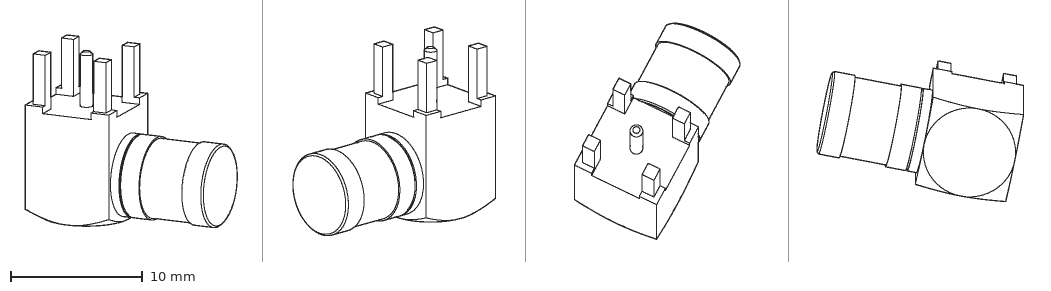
import cadquery as cq
import math

total_length = 14.7
block_width = 7.0
total_height = 13.0

block_height = 9.04
relief_depth = 0.51
base_cone_angle = 30.0

leg_pitch = 5.07
leg_width = 1.01

pin_diameter = 0.97
pin_top = 12.8
pin_chamfer = 0.22

coupling_diameter = 6.4
waist_diameter = 6.12
collar_length = 0.7
rear_band_length = 1.68
front_band_length = 1.73
barrel_chamfer = 0.15

half_width = block_width / 2
floor_height = block_height - relief_depth
relief_width = leg_pitch - leg_width
coupling_axis_height = half_width


def make_block():
    """Square block with its lower corners trimmed by a cone that meets the sides at mid-width."""
    block = cq.Workplane("XY").rect(block_width, block_width).extrude(block_height)
    for size_x, size_y in ((relief_width, block_width), (block_width, relief_width)):
        relief = cq.Workplane("XY", origin=(0, 0, floor_height)).rect(size_x, size_y).extrude(relief_depth)
        block = block.cut(relief)

    envelope_radius = block_width
    cone_rise = (envelope_radius - half_width) * math.tan(math.radians(base_cone_angle))
    envelope = (
        cq.Workplane("XZ")
        .moveTo(0, 0)
        .lineTo(half_width, 0)
        .lineTo(envelope_radius, cone_rise)
        .lineTo(envelope_radius, total_height)
        .lineTo(0, total_height)
        .close()
        .revolve(360, (0, 0, 0), (0, 1, 0))
    )
    return block.intersect(envelope)


def make_legs():
    """Four square legs, each rooted in a corner pad."""
    return (
        cq.Workplane("XY", origin=(0, 0, floor_height))
        .rarray(leg_pitch, leg_pitch, 2, 2)
        .rect(leg_width, leg_width)
        .extrude(total_height - floor_height)
    )


def make_pin():
    """Round centre pin with a chamfered tip."""
    return (
        cq.Workplane("XY", origin=(0, 0, floor_height))
        .circle(pin_diameter / 2)
        .extrude(pin_top - floor_height)
        .faces(">Z")
        .chamfer(pin_chamfer)
    )


def make_coupling():
    """Collar and waisted barrel, turned about a horizontal axis along X."""
    radius = coupling_diameter / 2
    waist_radius = waist_diameter / 2
    chamfered_radius = radius - barrel_chamfer
    block_face = half_width
    barrel_start = block_face + collar_length
    barrel_end = total_length - half_width
    waist_start = barrel_start + rear_band_length
    waist_end = barrel_end - front_band_length
    profile = [
        (block_face, 0),
        (block_face, radius),
        (barrel_start, radius),
        (barrel_start, chamfered_radius),
        (barrel_start + barrel_chamfer, radius),
        (waist_start, radius),
        (waist_start, waist_radius),
        (waist_end, waist_radius),
        (waist_end, radius),
        (barrel_end - barrel_chamfer, radius),
        (barrel_end, chamfered_radius),
        (barrel_end, 0),
    ]
    return (
        cq.Workplane("XZ", origin=(0, 0, coupling_axis_height))
        .polyline(profile)
        .close()
        .revolve(360, (0, 0, 0), (1, 0, 0))
    )


result = make_block().union(make_legs()).union(make_pin()).union(make_coupling())